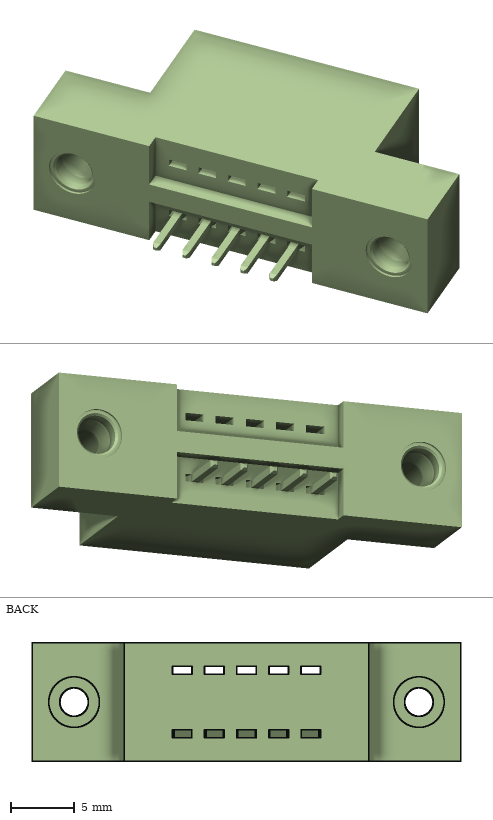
import cadquery as cq
import math

housing_width = 33.9
housing_height = 9.4
housing_depth = 15.25
flange_depth = 6.38
block_width = 19.33

recess_width = 14.0
recess_depth = 1.25
web_height = 1.73
recess_height = (housing_height - web_height) / 2

contact_count = 5
slot_width = 1.53
slot_height = 0.6
slot_row_span = 10.17
slot_row_z = 2.5

contact_row_span = 10.05
pin_size = slot_height
pin_reach = 3.45
tip_length = 0.35
tip_bevel = 0.17
blade_width = 1.4
shoulder_start = 1.35
shoulder_length = 1.02
blade_end = 10.17

bushing_spacing = 27.25
bushing_radius = 2.0
bushing_setback = 0.2
mouth_radius = 1.55
mouth_chamfer = 0.17
mouth_depth = 1.55
taper_start = 1.7
taper_radius = 1.5
taper_end = 3.05
bore_radius = 1.12


def row_positions(span):
    """X positions of a centred row of contacts or slots."""
    return [span * (i / (contact_count - 1) - 0.5) for i in range(contact_count)]


def box_from_front(width, height, y_start, y_end):
    """Box centred on X and Z that runs from y_start to y_end."""
    return cq.Workplane("XY").box(width, y_end - y_start, height).translate((0, (y_start + y_end) / 2, 0))


def make_housing():
    flange = box_from_front(housing_width, housing_height, 0, flange_depth)
    block = box_from_front(block_width, housing_height, 0, housing_depth)
    body = flange.union(block)

    recess = box_from_front(recess_width, recess_height, 0, recess_depth)
    slot = box_from_front(slot_width, slot_height, 0, housing_depth)
    for side in (-1, 1):
        body = body.cut(recess.translate((0, 0, side * (web_height + recess_height) / 2)))
        for x in row_positions(slot_row_span):
            body = body.cut(slot.translate((x, 0, side * slot_row_z)))

    seat = cq.Workplane("XZ").circle(bushing_radius).extrude(-flange_depth)
    for side in (-1, 1):
        body = body.cut(seat.translate((side * bushing_spacing / 2, 0, 0)))
    return body


def make_contact(x):
    """Bevelled pin with a tapered shoulder and a blade, all of one height."""
    tip_base = tip_length - pin_reach
    pin = box_from_front(pin_size, pin_size, tip_base, shoulder_start)
    tip_taper = math.degrees(math.atan2(tip_bevel, tip_length))
    tip = (
        cq.Workplane("XZ", origin=(0, tip_base, 0))
        .rect(pin_size, pin_size)
        .extrude(tip_length, taper=tip_taper)
    )
    blade_start = shoulder_start + shoulder_length
    blade = (
        cq.Workplane("XY")
        .moveTo(-pin_size / 2, shoulder_start)
        .lineTo(pin_size / 2, shoulder_start)
        .lineTo(blade_width / 2, blade_start)
        .lineTo(blade_width / 2, blade_end)
        .lineTo(-blade_width / 2, blade_end)
        .lineTo(-blade_width / 2, blade_start)
        .close()
        .extrude(pin_size / 2, both=True)
    )
    return pin.union(tip).union(blade).translate((x, 0, -slot_row_z))


def make_bushing(x):
    """Sleeve with a chamfered mouth, a tapered stretch and a straight bore to the back."""
    profile = (
        cq.Workplane("XY")
        .moveTo(bushing_radius, bushing_setback)
        .lineTo(bushing_radius, flange_depth)
        .lineTo(bore_radius, flange_depth)
        .lineTo(bore_radius, taper_end)
        .lineTo(taper_radius, taper_start)
        .lineTo(mouth_radius, mouth_depth)
        .lineTo(mouth_radius, bushing_setback + mouth_chamfer)
        .lineTo(mouth_radius + mouth_chamfer, bushing_setback)
        .close()
    )
    return profile.revolve(360, (0, 0, 0), (0, 1, 0)).translate((x, 0, 0))


housing = make_housing()
contacts = [make_contact(x) for x in row_positions(contact_row_span)]
bushings = [make_bushing(side * bushing_spacing / 2) for side in (-1, 1)]

result = cq.Compound.makeCompound([housing.val(), *[body.val() for body in contacts + bushings]])